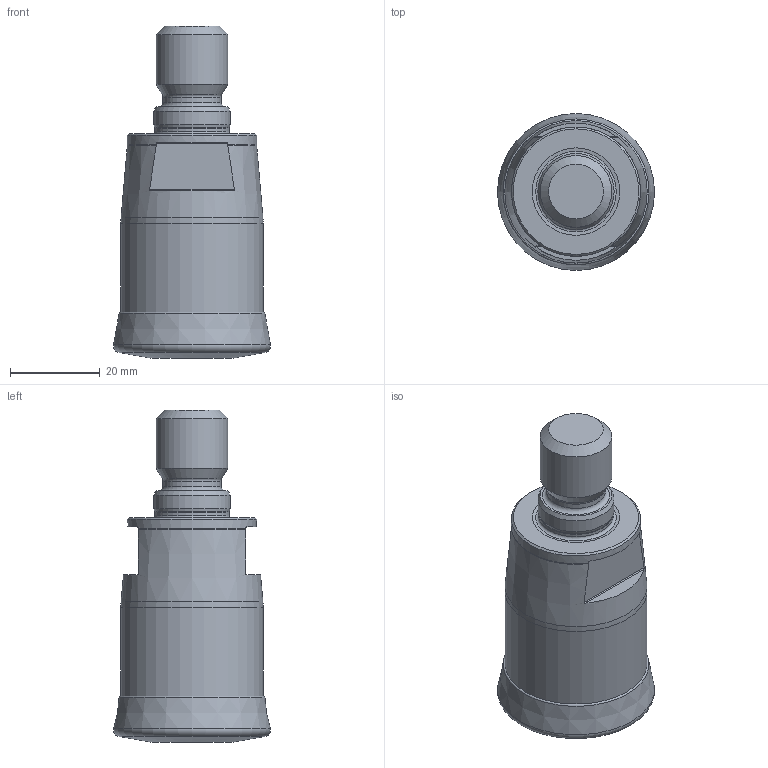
import cadquery as cq
import math

foot_height = 10.2
foot_max_radius = 35.0 / 2
foot_draft = math.radians(10)
sole_flat_radius = 9.3
foot_corner_radius = 1.5
foot_lip_fillet = 0.4

barrel_radius = 31.73 / 2
barrel_top = 30.0
taper_angle = math.radians(5)
taper_blend_radius = 15.0
band_radius = 28.8 / 2
band_blend_radius = 2.0
band_chamfer = 0.4
shoulder_height = 50.0

flats_width = 24.0
flats_bottom = 37.25
flats_top = 48.0
flats_corner_fillet = 0.25

collar_radius = 17.0 / 2
relief_shaft_radius = 16.6 / 2
relief_width = 2.0
relief_fillet = 0.6
relief_ramp_angle = math.radians(15)
relief_face_radius = 9.75
relief_face_angle = math.radians(8)

collar_top = 56.0
collar_top_radius = 8.0
collar_chamfer_height = 1.0
neck_radius = 13.0 / 2
neck_fillet = 1.0
neck_flare_angle = math.radians(30)

head_radius = 16.0 / 2
head_bottom = 61.0
head_chamfer = 1.9
total_height = 74.0


def revolve_about_z(profile):
    """Close a radius/height outline drawn in the XZ plane and spin it about Z."""
    return profile.close().revolve(360, (0, 0, 0), (0, 1, 0))


def on_circle(center, radius, angle):
    """Point on a circle, with the angle measured from +R towards +Z."""
    return (center[0] + radius * math.cos(angle), center[1] + radius * math.sin(angle))


def add_arc(profile, center, radius, start, end):
    """Draw a line to an arc's start angle and then the arc to its end angle."""
    return profile.lineTo(*on_circle(center, radius, start)).threePointArc(
        on_circle(center, radius, (start + end) / 2),
        on_circle(center, radius, end),
    )


def make_foot():
    slope = math.tan(foot_draft)
    corner_r = foot_max_radius - foot_corner_radius
    corner_z = (corner_r - sole_flat_radius) * slope + foot_corner_radius / math.cos(foot_draft)
    corner = (corner_r, corner_z)
    flare_start_r, flare_start_z = on_circle(corner, foot_corner_radius, foot_draft)
    top_radius = flare_start_r - (foot_height - flare_start_z) * slope

    profile = cq.Workplane("XZ").lineTo(sole_flat_radius, 0)
    profile = add_arc(profile, corner, foot_corner_radius, foot_draft - math.pi / 2, foot_draft)
    profile = profile.lineTo(top_radius, foot_height).lineTo(0, foot_height)
    return revolve_about_z(profile).faces(">Z").edges().fillet(foot_lip_fillet)


def add_barrel(profile):
    """Barrel, tapered section and top band, up to the rim of the face relief."""
    profile = profile.lineTo(barrel_radius, foot_height)
    blend = (barrel_radius - taper_blend_radius, barrel_top)
    profile = add_arc(profile, blend, taper_blend_radius, 0, taper_angle)

    taper_start_r, taper_start_z = on_circle(blend, taper_blend_radius, taper_angle)
    hollow_r = band_radius + band_blend_radius
    taper_end_r = hollow_r - band_blend_radius * math.cos(taper_angle)
    taper_end_z = taper_start_z + (taper_start_r - taper_end_r) / math.tan(taper_angle)
    hollow = (hollow_r, taper_end_z + band_blend_radius * math.sin(taper_angle))
    profile = add_arc(profile, hollow, band_blend_radius, math.pi + taper_angle, math.pi)

    return (
        profile.lineTo(band_radius, shoulder_height - band_chamfer)
        .lineTo(band_radius - band_chamfer, shoulder_height)
        .lineTo(relief_face_radius, shoulder_height)
    )


def add_relief(profile):
    """Shallow cone into the shoulder, rounded root, and ramp out to the collar."""
    center_r = relief_shaft_radius + relief_fillet
    face_drop = (relief_face_radius - center_r) * math.tan(relief_face_angle)
    center_z = shoulder_height - face_drop + relief_fillet / math.cos(relief_face_angle)
    root = (center_r, center_z)
    profile = add_arc(profile, root, relief_fillet, relief_face_angle - math.pi / 2, -math.pi)

    ramp_top = shoulder_height + relief_width
    ramp_height = (collar_radius - relief_shaft_radius) / math.tan(relief_ramp_angle)
    tangent_length = relief_fillet * math.tan(relief_ramp_angle / 2)
    ramp_blend = (center_r, ramp_top - ramp_height - tangent_length)
    profile = add_arc(profile, ramp_blend, relief_fillet, math.pi, math.pi - relief_ramp_angle)
    return profile.lineTo(collar_radius, ramp_top)


def add_collar_and_neck(profile):
    profile = profile.lineTo(collar_radius, collar_top - collar_chamfer_height)
    profile = profile.lineTo(collar_top_radius, collar_top)

    fillet_r = neck_radius + neck_fillet
    lower = (fillet_r, collar_top + neck_fillet)
    profile = add_arc(profile, lower, neck_fillet, -math.pi / 2, -math.pi)

    flare_height = (head_radius - neck_radius) / math.tan(neck_flare_angle)
    tangent_length = neck_fillet * math.tan(neck_flare_angle / 2)
    upper = (fillet_r, head_bottom - flare_height - tangent_length)
    return add_arc(profile, upper, neck_fillet, math.pi, math.pi - neck_flare_angle)


def add_head(profile):
    return (
        profile.lineTo(head_radius, head_bottom)
        .lineTo(head_radius, total_height - head_chamfer)
        .lineTo(head_radius - head_chamfer, total_height)
        .lineTo(0, total_height)
    )


def make_flat_cutter(side):
    """Block that cuts one wrench flat; side is -1 for the front, +1 for the back."""
    depth = barrel_radius
    height = flats_top - flats_bottom
    return (
        cq.Workplane("XY")
        .box(2 * barrel_radius, depth, height)
        .translate((0, side * (flats_width + depth) / 2, flats_bottom + height / 2))
        .edges("|X")
        .fillet(flats_corner_fillet)
    )


def make_adapter():
    profile = cq.Workplane("XZ").moveTo(0, foot_height)
    for add_section in (add_barrel, add_relief, add_collar_and_neck, add_head):
        profile = add_section(profile)
    adapter = revolve_about_z(profile)
    for side in (-1, 1):
        adapter = adapter.cut(make_flat_cutter(side))
    return adapter


foot = make_foot()
adapter = make_adapter()

result = cq.Compound.makeCompound([foot.val(), adapter.val()])